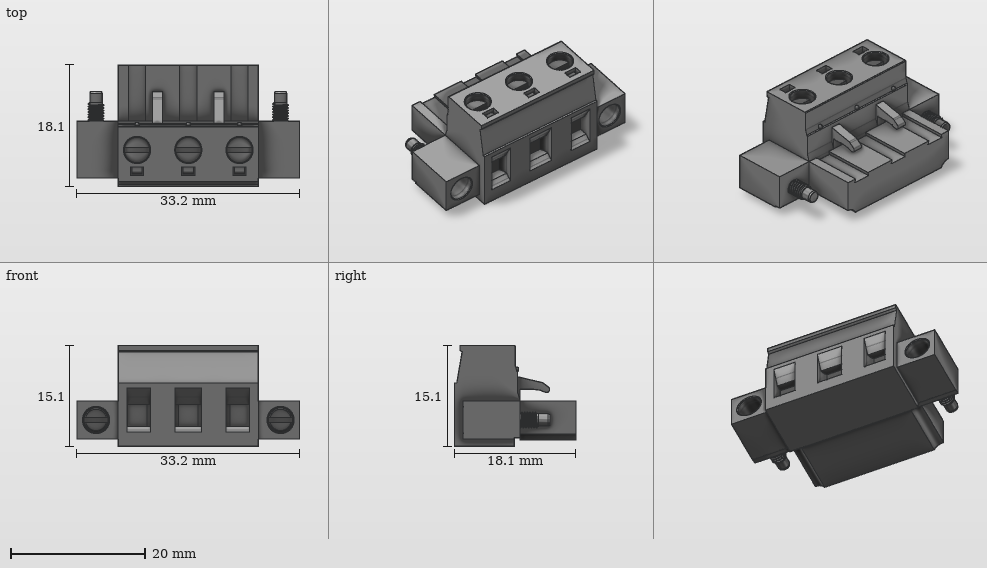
import cadquery as cq
import math

total_length = 33.15
total_depth = 18.1
total_height = 15.05
body_length = 20.88
pole_pitch = 7.62
pole_positions = [-pole_pitch, 0.0, pole_pitch]

shelf_height = 9.48
shelf_depth = 0.33
slope_top_depth = 1.13
slope_top_height = 14.05
lip_depth = 0.8
lip_height = 14.28
body_back = 9.05
back_bevel_depth = 0.15
back_bevel_height = 0.1
waist_back = 9.4
waist_top = 11.05
shoulder_depth = 9.28
shoulder_height = 11.2
upper_back_bottom = 12.03
waist_bottom = 7.95

plug_front = 9.78
plug_top = 6.8
plug_bottom = 0.95
plug_wall_bottom = 1.9
corner_sweep_degrees = 63
groove_width = 2.6
groove_depth = 0.6
groove_undercut = 0.13
foot_back = 8.9
foot_step = 1.3

ear_front = 1.3
ear_bottom = 1.1
ear_length = (total_length - body_length) / 2
ear_height = plug_top - ear_bottom
ear_screw_x = 13.72
ear_screw_z = ear_bottom + ear_height / 2

well_radius = 2.02
well_lip_radius = 1.9
well_chamfer_depth = 0.13
well_lip_end = 0.35
terminal_cone_end = 0.9
terminal_well_depth = 1.6
ear_cone_end = 1.13
ear_well_depth = 3.98
ear_head_radius = 1.8
ear_head_height = 0.83
ear_head_chamfer = 0.2
driver_slot_width = 0.8
driver_slot_depth = 0.65
terminal_screw_y = 5.47

pin_radius = 0.93
pin_end = 14.2
pin_chamfer_length = 0.3
pin_chamfer_inset = 0.1
thread_end = 12.53
thread_root_radius = 1.0
thread_crest_radius = 1.2
thread_pitch = 0.4
thread_ridge_base = 0.33
thread_sink = 0.03
thread_embed = 0.2

window_width = 3.98
window_limit = 9.08
window_bottom = 2.2
window_top = 8.68
window_sill_depth = 0.4
window_sill_height = 2.5
window_mouth_depth = 0.95
cavity_floor = 2.98
cavity_roof = 6.25
window_brow_depth = 0.7
window_brow_height = 7.4
cavity_roof_start = 1.3
cavity_back = 2.32

probe_width = 2.0
probe_front = 1.7
probe_back = 2.9
probe_depth = 1.13
contact_width = 1.52
contact_front = 1.9
contact_depth = 0.7
contact_roll_radius = 0.4

latch_x = 4.57
latch_width = 1.52
latch_root_top = 10.37
latch_root_bottom = 8.5
latch_upper_kink = [(13.05, 9.5), (13.3, 9.38)]
latch_tip_top = (14.05, 8.78)
latch_tip_end = (14.12, 8.3)
latch_tip_bottom = (13.65, 8.02)
latch_throat_middle = (13.22, 8.15)
latch_throat_end = (12.8, 8.35)
latch_under_kink_y = 11.7
stud_radius = 0.33
stud_height = 11.45
stud_end = 9.55
stud_root = 8.7
stud_fillet = 0.2


def side_prism(profile, width, x_middle=0.0):
    """Extrude a closed (Y, Z) wire along X, centred on x_middle."""
    return profile.extrude(width / 2, both=True).translate((x_middle, 0, 0))


def box_between(x_range, y_range, z_range):
    sizes = [high - low for low, high in (x_range, y_range, z_range)]
    corner = (x_range[0], y_range[0], z_range[0])
    return cq.Workplane("XY").box(*sizes, centered=False).translate(corner)


def make_body():
    profile = cq.Workplane("YZ").polyline([
        (0, 0),
        (0, shelf_height),
        (shelf_depth, shelf_height),
        (slope_top_depth, slope_top_height),
        (lip_depth, lip_height),
        (lip_depth, total_height),
        (body_back - back_bevel_depth, total_height),
        (body_back, total_height - back_bevel_height),
        (body_back, upper_back_bottom),
        (shoulder_depth, shoulder_height),
        (waist_back, waist_top),
        (waist_back, waist_bottom),
        (plug_front, plug_top),
        (plug_front, foot_step),
        (foot_back, foot_step),
        (foot_back, 0),
    ]).close()
    return side_prism(profile, body_length)


def make_ear(side):
    profile = cq.Workplane("YZ").polyline([
        (ear_front, ear_bottom),
        (ear_front, plug_top),
        (plug_front, plug_top),
        (plug_front, foot_step),
        (foot_back, foot_step),
        (foot_back, ear_bottom),
    ]).close()
    return side_prism(profile, ear_length, side * (body_length + ear_length) / 2)


def make_plug():
    """Block with concave lower corners and a dovetail groove above each pole."""
    half = body_length / 2
    corner_sweep = math.radians(corner_sweep_degrees)
    corner_radius = (plug_wall_bottom - plug_bottom) / (1 - math.cos(corner_sweep))

    def corner_point(angle):
        inset = corner_radius * math.sin(angle)
        drop = corner_radius * (1 - math.cos(angle))
        return half - inset, plug_wall_bottom - drop

    middle_x, middle_z = corner_point(corner_sweep / 2)
    end_x, end_z = corner_point(corner_sweep)
    plug = (
        cq.Workplane("XZ", origin=(0, plug_front, 0))
        .moveTo(-half, plug_top)
        .lineTo(half, plug_top)
        .lineTo(half, plug_wall_bottom)
        .threePointArc((middle_x, middle_z), (end_x, end_z))
        .lineTo(-end_x, end_z)
        .threePointArc((-middle_x, middle_z), (-half, plug_wall_bottom))
        .close()
        .extrude(plug_front - total_depth)
    )
    for pole_x in pole_positions:
        mouth = groove_width / 2
        root = mouth + groove_undercut
        floor = plug_top - groove_depth
        groove = (
            cq.Workplane("XZ", origin=(pole_x, plug_front, 0))
            .polyline([(-mouth, plug_top), (mouth, plug_top), (root, floor), (-root, floor)])
            .close()
            .extrude(plug_front - total_depth)
        )
        plug = plug.cut(groove)
    return plug


def make_well(cone_end, depth):
    """Screw well about the Z axis, opening at Z = 0, with an undercut below its lip."""
    return (
        cq.Workplane("XZ")
        .polyline([
            (0, 0),
            (well_radius, 0),
            (well_lip_radius, -well_chamfer_depth),
            (well_lip_radius, -well_lip_end),
            (well_radius, -cone_end),
            (well_radius, -depth),
            (0, -depth),
        ])
        .close()
        .revolve(360, (0, 0, 0), (0, 1, 0))
    )


def make_driver_slot(head_top, radius):
    """Screwdriver slot along X, limited to the round screw head."""
    blade = cq.Workplane("XY").box(2 * radius, driver_slot_width, driver_slot_depth)
    head = cq.Workplane("XY").circle(radius).extrude(driver_slot_depth / 2, both=True)
    return blade.intersect(head).translate((0, 0, head_top - driver_slot_depth / 2))


def make_terminal_well():
    well = make_well(terminal_cone_end, terminal_well_depth)
    return well.union(make_driver_slot(-terminal_well_depth, well_radius))


def make_ear_well():
    head_top = ear_head_height - ear_well_depth
    head = (
        cq.Workplane("XY", origin=(0, 0, -ear_well_depth))
        .circle(ear_head_radius)
        .extrude(ear_head_height)
        .faces(">Z")
        .chamfer(ear_head_chamfer)
    )
    well = make_well(ear_cone_end, ear_well_depth).cut(head)
    return well.union(make_driver_slot(head_top, ear_head_radius))


def make_shank():
    """Threaded shank with a plain pin end, along +Z from the thread start at Z = 0."""
    thread_start = plug_front - thread_embed
    thread_length = thread_end - thread_start
    core = cq.Workplane("XY").circle(thread_root_radius).extrude(thread_length)
    pin = (
        cq.Workplane("XY")
        .circle(pin_radius)
        .extrude(pin_end - thread_start)
        .faces(">Z")
        .chamfer(pin_chamfer_length, pin_chamfer_inset)
    )
    sunk_radius = thread_root_radius - thread_sink
    half_base = thread_ridge_base / 2
    ridge_length = thread_length - 2 * half_base
    path = cq.Wire.makeHelix(thread_pitch, ridge_length, sunk_radius)
    ridge = (
        cq.Workplane("XZ")
        .polyline([(sunk_radius, -half_base), (thread_crest_radius, 0), (sunk_radius, half_base)])
        .close()
        .sweep(cq.Workplane(path), isFrenet=True)
        .translate((0, 0, half_base))
    )
    return core.union(pin).union(ridge)


def make_window(pole_x):
    """Wire opening: funnel mouth, then a cavity with rounded sides and a flat back."""
    half = window_width / 2
    plan = (
        cq.Workplane("XY")
        .rect(window_width, 2 * window_mouth_depth)
        .extrude(total_height)
        .union(
            cq.Workplane("XY", origin=(0, window_mouth_depth, 0))
            .circle(half)
            .extrude(total_height)
        )
        .translate((pole_x, 0, 0))
    )
    profile = cq.Workplane("YZ").polyline([
        (0, window_bottom),
        (window_sill_depth, window_sill_height),
        (window_mouth_depth, cavity_floor),
        (cavity_back, cavity_floor),
        (cavity_back, cavity_roof),
        (cavity_roof_start, cavity_roof),
        (window_brow_depth, window_brow_height),
        (0, window_top),
    ]).close()
    return plan.intersect(side_prism(profile, 2 * window_limit))


def make_probe_pocket(pole_x):
    """Pocket with a raised contact at its back wall, rounded along its front edge."""
    floor = total_height - probe_depth
    pocket = box_between(
        (pole_x - probe_width / 2, pole_x + probe_width / 2),
        (probe_front, probe_back),
        (floor, total_height),
    )
    contact = box_between(
        (pole_x - contact_width / 2, pole_x + contact_width / 2),
        (contact_front, probe_back),
        (floor, total_height - contact_depth),
    )
    return pocket.cut(contact.edges(">Z and <Y").fillet(contact_roll_radius))


def make_latch(x_middle):
    profile = (
        cq.Workplane("YZ")
        .moveTo(body_back, plug_top)
        .lineTo(body_back, latch_root_top)
        .lineTo(waist_back, latch_root_top)
        .lineTo(*latch_upper_kink[0])
        .lineTo(*latch_upper_kink[1])
        .lineTo(*latch_tip_top)
        .threePointArc(latch_tip_end, latch_tip_bottom)
        .threePointArc(latch_throat_middle, latch_throat_end)
        .lineTo(latch_under_kink_y, latch_root_bottom)
        .lineTo(plug_front, latch_root_bottom)
        .lineTo(plug_front, plug_top)
        .close()
    )
    return side_prism(profile, latch_width, x_middle)


def make_stud(pole_x):
    return (
        cq.Workplane("XZ", origin=(pole_x, stud_root, stud_height))
        .circle(stud_radius)
        .extrude(stud_root - stud_end)
        .faces(">Y")
        .edges()
        .fillet(stud_fillet)
    )


result = make_body().union(make_plug())

for side in (-1, 1):
    screw_place = (side * ear_screw_x, ear_front, ear_screw_z)
    shank_place = (side * ear_screw_x, plug_front - thread_embed, ear_screw_z)
    result = result.union(make_ear(side))
    result = result.cut(make_ear_well().rotate((0, 0, 0), (1, 0, 0), 90).translate(screw_place))
    result = result.union(make_shank().rotate((0, 0, 0), (1, 0, 0), -90).translate(shank_place))
    result = result.union(make_latch(side * latch_x))

for pole_x in pole_positions:
    well_place = (pole_x, terminal_screw_y, total_height)
    result = result.cut(make_terminal_well().translate(well_place))
    result = result.cut(make_window(pole_x))
    result = result.cut(make_probe_pocket(pole_x))
    result = result.union(make_stud(pole_x))